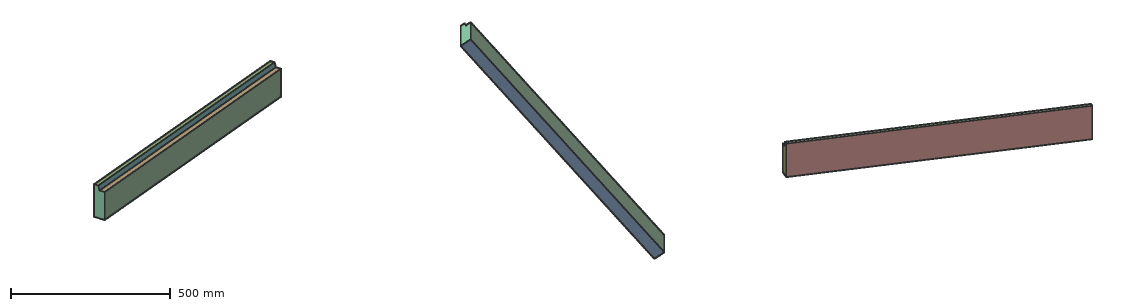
import cadquery as cq

width = 40.0
length = 1000.0
height = 115.0

lip_top_width = 16.0
lip_base_width = 21.0
shoulder_drop = 16.0
shoulder_height = height - shoulder_drop

profile = [
    (0, 0),
    (width, 0),
    (width, shoulder_height),
    (lip_base_width, shoulder_height),
    (lip_top_width, height),
    (0, height),
]

result = (
    cq.Workplane("XZ")
    .polyline(profile)
    .close()
    .extrude(-length)
    .translate((-width / 2, -length / 2, -height / 2))
)